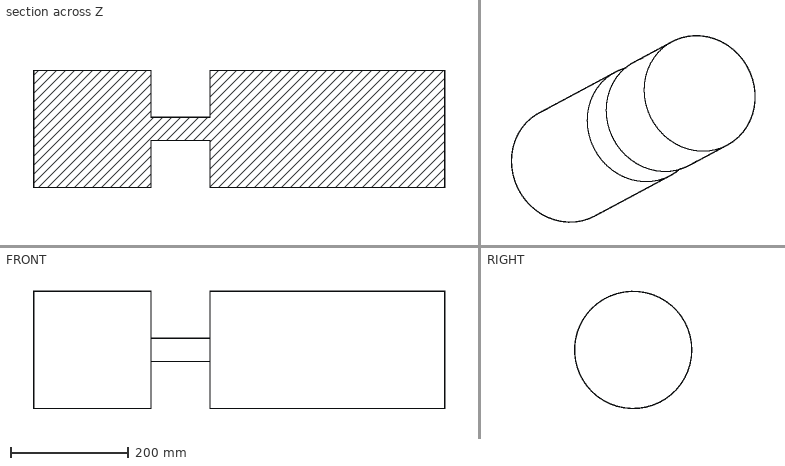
import cadquery as cq

body_diameter = 200.0
neck_diameter = 40.0
short_body_length = 200.0
neck_length = 100.0
long_body_length = 400.0


def cylinder_along_x(start_x, length, diameter):
    """Solid cylinder on the X axis, beginning at start_x."""
    return cq.Workplane("YZ", origin=(start_x, 0, 0)).circle(diameter / 2).extrude(length)


neck_start = short_body_length
long_body_start = neck_start + neck_length

short_body = cylinder_along_x(0, short_body_length, body_diameter)
neck = cylinder_along_x(neck_start, neck_length, neck_diameter)
long_body = cylinder_along_x(long_body_start, long_body_length, body_diameter)

result = short_body.union(neck).union(long_body)